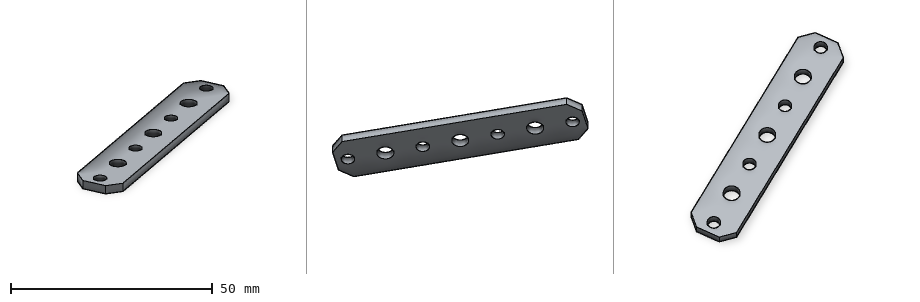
import cadquery as cq

length = 63.5
width = 12.7
thickness = 2.3
corner_cut = 3.2

hole_count = 7
hole_pitch = 9.5
small_diameter = 3.3
large_diameter = 4.2


def hole_positions(first):
    """Every second hole centre in the row, starting at index first."""
    middle = (hole_count - 1) / 2
    return [(0, (i - middle) * hole_pitch) for i in range(first, hole_count, 2)]


def drill(body, first, diameter):
    """Drill every second hole of the row through the strip."""
    return body.faces(">Z").workplane(origin=(0, 0, 0)).pushPoints(hole_positions(first)).hole(diameter)


strip = cq.Workplane("XY").box(width, length, thickness).edges("|Z").chamfer(corner_cut)
strip = drill(strip, 0, small_diameter)
result = drill(strip, 1, large_diameter)